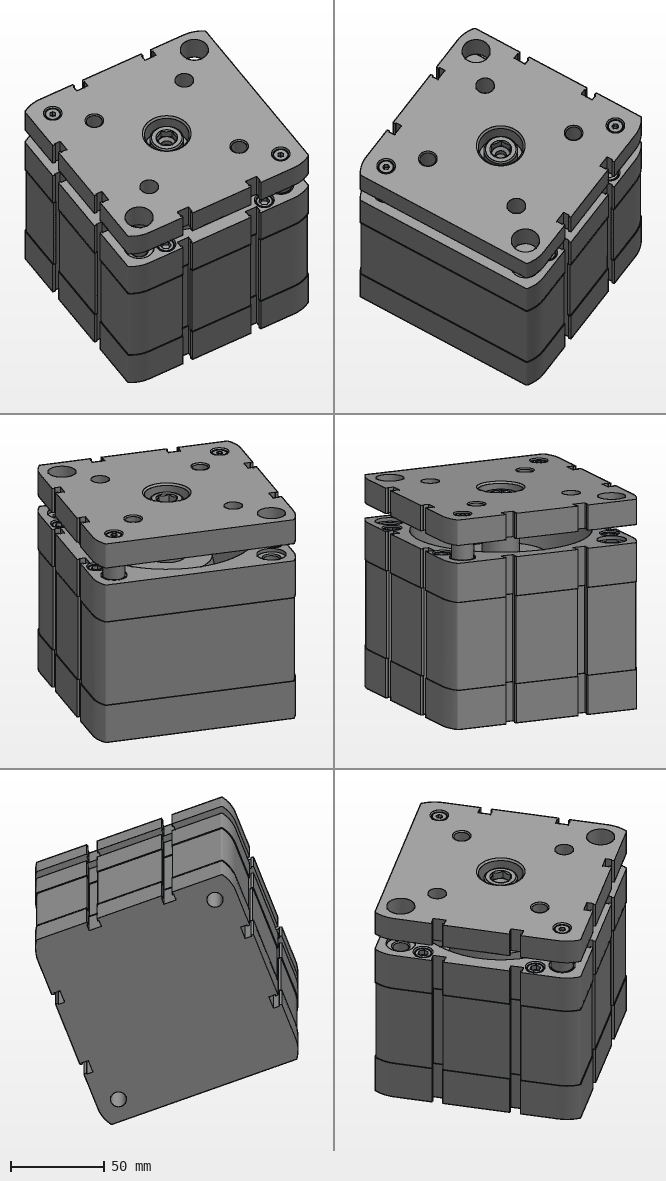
import cadquery as cq
import math

width = 113.5
total_height = 115.8
plate_thickness = 14.0
plate_gap = 10.0
cap_height = 21.7
tube_inset = 0.5

plate_bottom = total_height - plate_thickness
housing_top = plate_bottom - plate_gap
half_width = width / 2

flank_half_length = 45.3
corner_radius = 20.0
corner_edge_fillet = 1.2

slot_offset = 21.4
slot_mouth = 6.0
slot_opening = 5.6
slot_flare_depth = 0.8
slot_width = 7.0
slot_depth = 5.0
slot_lip = 1.5

corner_offset = 44.5
guide_rod_diameter = 12.0
guide_seat_diameter = 14.0
guide_seat_depth = 0.5

plate_clearance_diameter = 15.0
mount_counterbore_diameter = 15.7
mount_counterbore_depth = 2.0
mount_hole_diameter = 8.6
mount_hole_mouth_diameter = 10.0

plate_hole_offset = 28.3
plate_hole_diameter = 10.0
thread_diameter = 8.6
thread_mouth_diameter = 10.0

rod_screw_diameter = 8.6
housing_screw_diameter = 9.3
screw_recess_chamfer = 0.7
screw_head_chamfer = 0.5
screw_face_depth = 0.7
rod_screw_socket = 3.0
housing_screw_socket = 5.0
screw_socket_depth = 3.5
housing_screw_x = 49.8
housing_screw_y = 30.9

bore_diameter = 97.7
bore_depth = 49.8
boss_base_diameter = 64.8
boss_top_diameter = 48.6
boss_height = 37.0

rod_diameter = 20.0
rod_flat_width = 17.0
rod_flat_length = 7.4
rod_end_diameter = 18.0
rod_end_chamfer = 0.8
rod_end_depth = 3.2
plate_recess_diameter = 24.0
plate_recess_mouth_diameter = 26.0
plate_recess_depth = 11.0
rod_socket = 10.0
rod_socket_mouth_diameter = 11.6
rod_socket_depth = 4.6
rod_drill_diameter = 6.0
rod_socket_cone_height = 1.2
rod_drill_depth = 2.9
rod_drill_cone_height = 1.7

bore_floor = housing_top - bore_depth
guide_rod_corners = [(corner_offset, corner_offset), (-corner_offset, -corner_offset)]
mount_corners = [(-corner_offset, corner_offset), (corner_offset, -corner_offset)]


def cylinder(x, y, bottom, top, diameter):
    return cq.Workplane("XY", origin=(x, y, bottom)).circle(diameter / 2).extrude(top - bottom)


def cone(x, y, bottom, top, bottom_diameter, top_diameter):
    solid = cq.Solid.makeCone(
        bottom_diameter / 2, top_diameter / 2, top - bottom, cq.Vector(x, y, bottom)
    )
    return cq.Workplane(obj=solid)


def hexagon(x, y, bottom, top, across_flats, turn=0):
    """Hexagonal prism; its corners lie along X, or along Y when turned by 90 degrees."""
    across_corners = across_flats / math.cos(math.pi / 6)
    prism = cq.Workplane("XY").polygon(6, across_corners).extrude(top - bottom)
    return prism.rotate((0, 0, 0), (0, 0, 1), turn).translate((x, y, bottom))


def countersink(x, y, top, mouth_diameter, hole_diameter):
    """45 degree cutter for the mouth of a hole."""
    depth = (mouth_diameter - hole_diameter) / 2
    return cone(x, y, top - depth, top, hole_diameter, mouth_diameter)


def block(half_side, bottom, top):
    """Square block whose X sides run into the Y sides through large corner arcs."""
    arc_rise = half_side - flank_half_length
    arc_centre = half_side - corner_radius
    arc_end = arc_centre + math.sqrt(corner_radius**2 - arc_rise**2)
    half_angle = math.asin(arc_rise / corner_radius) / 2
    arc_middle_x = arc_centre + corner_radius * math.cos(half_angle)
    arc_middle_y = flank_half_length + corner_radius * math.sin(half_angle)
    solid = (
        cq.Workplane("XY", origin=(0, 0, bottom))
        .moveTo(half_side, -flank_half_length)
        .lineTo(half_side, flank_half_length)
        .threePointArc((arc_middle_x, arc_middle_y), (arc_end, half_side))
        .lineTo(-arc_end, half_side)
        .threePointArc((-arc_middle_x, arc_middle_y), (-half_side, flank_half_length))
        .lineTo(-half_side, -flank_half_length)
        .threePointArc((-arc_middle_x, -arc_middle_y), (-arc_end, -half_side))
        .lineTo(arc_end, -half_side)
        .threePointArc((arc_middle_x, -arc_middle_y), (half_side, -flank_half_length))
        .close()
        .extrude(top - bottom)
    )
    limit_x = (arc_end + half_side) / 2
    corner_edges = cq.selectors.BoxSelector((-limit_x, -width, bottom), (limit_x, width, top))
    return solid.edges("|Z").edges(corner_edges).fillet(corner_edge_fillet)


def slots(half_side, bottom, top):
    """T-slot cutters: two on each X side and two on the -Y side."""
    centre_z = (bottom + top) / 2
    height = top - bottom
    cutters = cq.Workplane("XY")
    for turn in (-90, 0, 90):
        for offset in (-slot_offset, slot_offset):
            neck = (
                cq.Workplane("XY", origin=(offset, -half_side, bottom))
                .moveTo(-slot_mouth / 2, 0)
                .lineTo(slot_mouth / 2, 0)
                .lineTo(slot_opening / 2, slot_flare_depth)
                .lineTo(slot_opening / 2, slot_lip)
                .lineTo(-slot_opening / 2, slot_lip)
                .lineTo(-slot_opening / 2, slot_flare_depth)
                .close()
                .extrude(height)
            )
            channel = cq.Workplane("XY").box(slot_width, slot_depth - slot_lip, height)
            channel = channel.translate(
                (offset, -half_side + (slot_depth + slot_lip) / 2, centre_z)
            )
            slot = neck.union(channel).rotate((0, 0, 0), (0, 0, 1), turn)
            cutters = cutters.add(slot)
    return cutters.combine()


def slotted_block(half_side, bottom, top):
    return block(half_side, bottom, top).cut(slots(half_side, bottom, top))


def screw_recess(x, y, top, diameter, socket, turn):
    """Cutter that leaves a sunk screw head with a chamfered rim and a hexagon socket."""
    face = top - screw_face_depth
    rim = face - screw_head_chamfer
    pocket = cylinder(x, y, rim, top, diameter)
    pocket = pocket.union(countersink(x, y, top, diameter + 2 * screw_recess_chamfer, diameter))
    head = cone(x, y, rim, face, diameter, diameter - 2 * screw_head_chamfer)
    return pocket.cut(head).union(hexagon(x, y, top - screw_socket_depth, face, socket, turn))


def make_housing():
    tube_top = housing_top - cap_height
    body = slotted_block(half_width, 0, cap_height)
    body = body.union(slotted_block(half_width - tube_inset, cap_height, tube_top))
    body = body.union(slotted_block(half_width, tube_top, housing_top))

    body = body.cut(cylinder(0, 0, bore_floor, housing_top, bore_diameter))
    boss_top = bore_floor + boss_height
    body = body.union(cone(0, 0, bore_floor, boss_top, boss_base_diameter, boss_top_diameter))
    body = body.cut(cylinder(0, 0, bore_floor, boss_top, rod_diameter))

    for x, y in guide_rod_corners:
        body = body.cut(cylinder(x, y, bore_floor, housing_top, guide_rod_diameter))
        body = body.cut(
            cylinder(x, y, housing_top - guide_seat_depth, housing_top, guide_seat_diameter)
        )

    seat = housing_top - mount_counterbore_depth
    for x, y in mount_corners:
        body = body.cut(cylinder(x, y, 0, housing_top, mount_hole_diameter))
        body = body.cut(cylinder(x, y, seat, housing_top, mount_counterbore_diameter))
        body = body.cut(countersink(x, y, seat, mount_hole_mouth_diameter, mount_hole_diameter))

    for x in (-housing_screw_x, housing_screw_x):
        for y in (-housing_screw_y, housing_screw_y):
            recess = screw_recess(
                x, y, housing_top, housing_screw_diameter, housing_screw_socket, 0
            )
            body = body.cut(recess)
    return body


def make_plate():
    plate = slotted_block(half_width, plate_bottom, total_height)
    for x, y in mount_corners:
        plate = plate.cut(cylinder(x, y, plate_bottom, total_height, plate_clearance_diameter))

    for x in (-plate_hole_offset, plate_hole_offset):
        plate = plate.cut(cylinder(x, -x, plate_bottom, total_height, plate_hole_diameter))
        plate = plate.cut(cylinder(x, x, plate_bottom, total_height, thread_diameter))
        plate = plate.cut(countersink(x, x, total_height, thread_mouth_diameter, thread_diameter))

    recess_floor = total_height - plate_recess_depth
    plate = plate.cut(cylinder(0, 0, recess_floor, total_height, plate_recess_diameter))
    plate = plate.cut(cylinder(0, 0, plate_bottom, recess_floor, rod_end_diameter))
    return plate.cut(
        countersink(0, 0, total_height, plate_recess_mouth_diameter, plate_recess_diameter)
    )


def make_piston_rod():
    end_face = total_height - rod_end_depth
    rod = cylinder(0, 0, bore_floor, plate_bottom, rod_diameter)
    flat_depth = (rod_diameter - rod_flat_width) / 2
    flat_bottom = plate_bottom - rod_flat_length
    for side in (-1, 1):
        flat_cutter = (
            cq.Workplane("YZ")
            .moveTo(side * rod_flat_width / 2, plate_bottom)
            .lineTo(side * rod_flat_width / 2, flat_bottom)
            .lineTo(side * rod_diameter / 2, flat_bottom - flat_depth / 2)
            .lineTo(side * rod_diameter / 2, plate_bottom)
            .close()
            .extrude(rod_diameter / 2, both=True)
        )
        rod = rod.cut(flat_cutter)

    end = cylinder(0, 0, plate_bottom, end_face, rod_end_diameter)
    end = end.faces(">Z").chamfer(rod_end_chamfer)
    rod = rod.union(end)

    socket_floor = end_face - rod_socket_depth
    cone_floor = socket_floor - rod_socket_cone_height
    rod = rod.cut(hexagon(0, 0, socket_floor, end_face, rod_socket))
    rod = rod.cut(countersink(0, 0, end_face, rod_socket_mouth_diameter, rod_socket))
    rod = rod.cut(cone(0, 0, cone_floor, socket_floor, rod_drill_diameter, rod_socket))
    drill_floor = cone_floor - rod_drill_depth
    rod = rod.cut(cylinder(0, 0, drill_floor, cone_floor, rod_drill_diameter))
    drill_tip = drill_floor - rod_drill_cone_height
    return rod.cut(cone(0, 0, drill_tip, drill_floor, 0, rod_drill_diameter))


def make_moving_unit():
    unit = make_plate().union(make_piston_rod())
    for x, y in guide_rod_corners:
        unit = unit.union(cylinder(x, y, bore_floor, plate_bottom, guide_rod_diameter))
        recess = screw_recess(x, y, total_height, rod_screw_diameter, rod_screw_socket, 90)
        unit = unit.cut(recess)
    return unit


housing = make_housing()
moving_unit = make_moving_unit()

result = cq.Compound.makeCompound([housing.solids().val(), moving_unit.solids().val()])